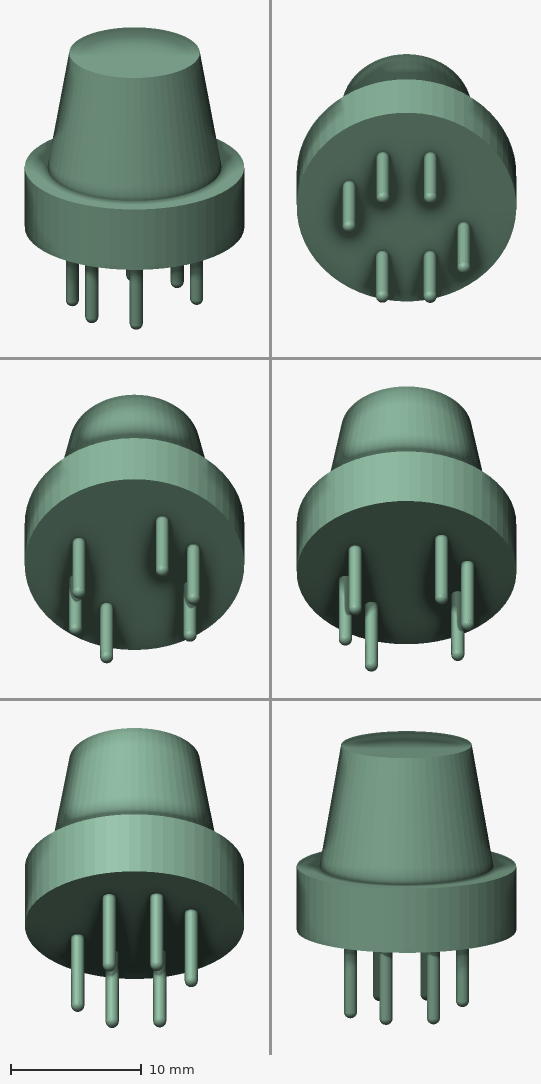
import cadquery as cq

overall_height = 20.95
facet_count = 60

base_diameter = 16.8
base_height = 5.0

cap_bottom_diameter = 13.3
cap_top_diameter = 10.0
cap_height = 9.5

pin_diameter = 1.0
pin_shank_length = 6.0
pin_circle_radius = 4.75
pin_angles = (45, 90, 135, 225, 270, 315)

pin_reach = overall_height - base_height - cap_height
tip_radius = pin_diameter / 2
tip_center_z = tip_radius - pin_reach


def make_pin(angle):
    """One pin hanging from Z = 0, turned about Z to its place on the pin circle."""
    shank = cq.Workplane("XY").polygon(facet_count, pin_diameter).extrude(-pin_shank_length)
    tip = cq.Workplane("XY").sphere(tip_radius).translate((0, 0, tip_center_z))
    pin = shank.union(tip).translate((pin_circle_radius, 0, 0))
    return pin.rotate((0, 0, 0), (0, 0, 1), angle)


def make_base():
    """Base disc with its pins, which are one piece with it."""
    body = cq.Workplane("XY").polygon(facet_count, base_diameter).extrude(base_height)
    for angle in pin_angles:
        body = body.union(make_pin(angle))
    return body


def make_cap():
    """Solid frustum with flat facets, resting on top of the base."""
    return (
        cq.Workplane("XY")
        .workplane(offset=base_height)
        .polygon(facet_count, cap_bottom_diameter)
        .workplane(offset=cap_height)
        .polygon(facet_count, cap_top_diameter)
        .loft(ruled=True)
    )


base = make_base()
cap = make_cap()

result = cq.Compound.makeCompound([base.solids().val(), cap.val()])